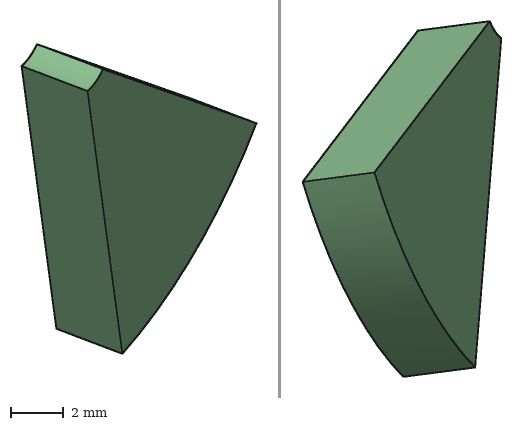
import cadquery as cq
import math

THICKNESS = 3.0
OUTER_RADIUS = 15.64
INNER_RADIUS = 1.67
SIDE_OFFSET = 0.31
STEEP_SIDE_ANGLE = -80.0
SHALLOW_SIDE_ANGLE = -40.0
MIDDLE_ANGLE = (STEEP_SIDE_ANGLE + SHALLOW_SIDE_ANGLE) / 2


def offset_point(radius, direction):
    """Point at the given radius on a line that passes SIDE_OFFSET from the arc centre."""
    angle = math.radians(direction) - math.asin(SIDE_OFFSET / radius)
    return radius * math.cos(angle), radius * math.sin(angle)


def offset_sector():
    """Ring sector with both arcs centred on the X axis, extruded evenly about X = 0."""
    steep_inner = offset_point(INNER_RADIUS, STEEP_SIDE_ANGLE)
    steep_outer = offset_point(OUTER_RADIUS, STEEP_SIDE_ANGLE)
    shallow_inner = offset_point(INNER_RADIUS, SHALLOW_SIDE_ANGLE)
    shallow_outer = offset_point(OUTER_RADIUS, SHALLOW_SIDE_ANGLE)
    return (
        cq.Workplane("YZ")
        .moveTo(*steep_inner)
        .lineTo(*steep_outer)
        .threePointArc(offset_point(OUTER_RADIUS, MIDDLE_ANGLE), shallow_outer)
        .lineTo(*shallow_inner)
        .threePointArc(offset_point(INNER_RADIUS, MIDDLE_ANGLE), steep_inner)
        .close()
        .extrude(THICKNESS / 2, both=True)
    )


result = offset_sector()